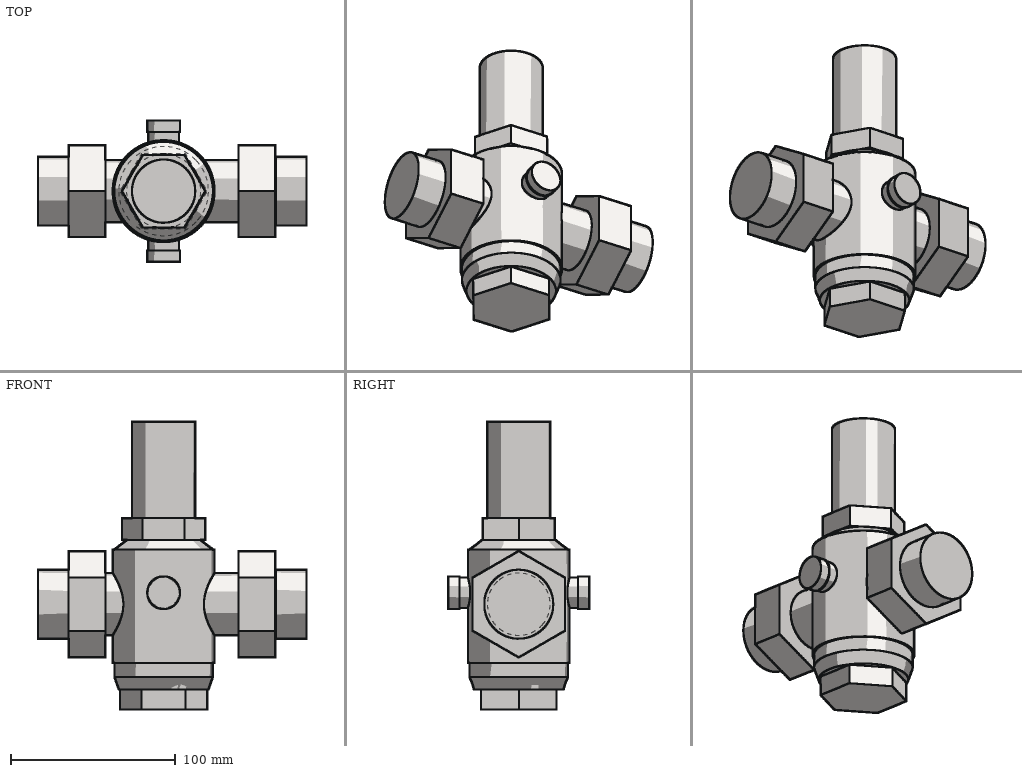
import cadquery as cq

base_hex_top = 12.0
lower_cone_top = 20.0
lower_collar_top = 28.4
barrel_top = 97.3
bonnet_cone_top = 103.0
bonnet_hex_top = 116.4
overall_height = 175.0

base_hex_across_flats = 46.0
lower_cone_small_diameter = 54.5
collar_diameter = 60.0
barrel_diameter = 62.0
bonnet_cone_top_diameter = 45.0
bonnet_hex_across_flats = 44.0
spring_cover_diameter = 38.5

port_height = 64.0
port_line_center_x = 5.0
port_pipe_diameter = 38.0
nut_across_flats = 56.0
nut_inner_distance = 40.5
nut_length = 22.4
tail_diameter = 42.0
tail_length = 18.7
tail_gap = 0.4
nut_outer_distance = nut_inner_distance + nut_length

plug_height = 71.0
plug_span = 86.0
plug_neck_diameter = 18.7
plug_head_diameter = 20.0
plug_head_length = 7.0

HEX_CORNER_RATIO = 2 / 3 ** 0.5


def hexagon(plane, across_flats, length, rotation=0):
    """Hexagonal prism extruded from a plane, with a corner on its local X when unrotated."""
    profile = plane.rotated((0, 0, rotation))
    return cq.Workplane(profile).polygon(6, across_flats * HEX_CORNER_RATIO).extrude(length)


def cylinder(plane, diameter, length):
    return cq.Workplane(plane).circle(diameter / 2).extrude(length)


def horizontal_plane(height):
    return cq.Plane(origin=(0, 0, height))


def port_plane(x):
    """Plane facing +X on the port line, with its local X along Y."""
    return cq.Plane(origin=(x, 0, port_height), xDir=(0, 1, 0), normal=(1, 0, 0))


def make_column():
    """Turned barrel with both hexagons and the spring cover."""
    radial_profile = [
        (0, base_hex_top),
        (lower_cone_small_diameter / 2, base_hex_top),
        (collar_diameter / 2, lower_cone_top),
        (collar_diameter / 2, lower_collar_top),
        (barrel_diameter / 2, lower_collar_top),
        (barrel_diameter / 2, barrel_top),
        (collar_diameter / 2, barrel_top),
        (bonnet_cone_top_diameter / 2, bonnet_cone_top),
        (0, bonnet_cone_top),
    ]
    barrel = cq.Workplane("XZ").polyline(radial_profile).close().revolve(360, (0, 0), (0, 1))
    base_hex = hexagon(horizontal_plane(0), base_hex_across_flats, base_hex_top)
    bonnet_hex = hexagon(
        horizontal_plane(bonnet_cone_top), bonnet_hex_across_flats, bonnet_hex_top - bonnet_cone_top
    )
    spring_cover = cylinder(
        horizontal_plane(bonnet_hex_top), spring_cover_diameter, overall_height - bonnet_hex_top
    )
    return barrel.union(base_hex).union(bonnet_hex).union(spring_cover)


def make_ports():
    """Through pipe with a union nut at each end, corners up and down."""
    left_nut_inner_x = port_line_center_x - nut_inner_distance
    left_nut_outer_x = port_line_center_x - nut_outer_distance
    right_nut_inner_x = port_line_center_x + nut_inner_distance
    ports = cylinder(port_plane(left_nut_inner_x), port_pipe_diameter, 2 * nut_inner_distance)
    for nut_start_x in (left_nut_outer_x, right_nut_inner_x):
        ports = ports.union(hexagon(port_plane(nut_start_x), nut_across_flats, nut_length, rotation=30))
    return ports


def make_tail(start_x):
    return cylinder(port_plane(start_x), tail_diameter, tail_length)


def make_plugs():
    """Pair of headed gauge plugs on one line across the barrel."""
    half_span = plug_span / 2
    plane = cq.Plane(origin=(0, -half_span, plug_height), xDir=(1, 0, 0), normal=(0, 1, 0))
    plugs = cylinder(plane, plug_neck_diameter, plug_span)
    for offset in (0, plug_span - plug_head_length):
        head_plane = cq.Plane(
            origin=(0, offset - half_span, plug_height), xDir=(1, 0, 0), normal=(0, 1, 0)
        )
        plugs = plugs.union(cylinder(head_plane, plug_head_diameter, plug_head_length))
    return plugs


def make_valve():
    """Valve body in one piece with its nuts, plugs and left tail."""
    left_tail = make_tail(port_line_center_x - nut_outer_distance - tail_length)
    return make_column().union(make_ports()).union(make_plugs()).union(left_tail)


valve = make_valve()
loose_tail = make_tail(port_line_center_x + nut_outer_distance + tail_gap)

result = cq.Compound.makeCompound([valve.val(), loose_tail.val()])